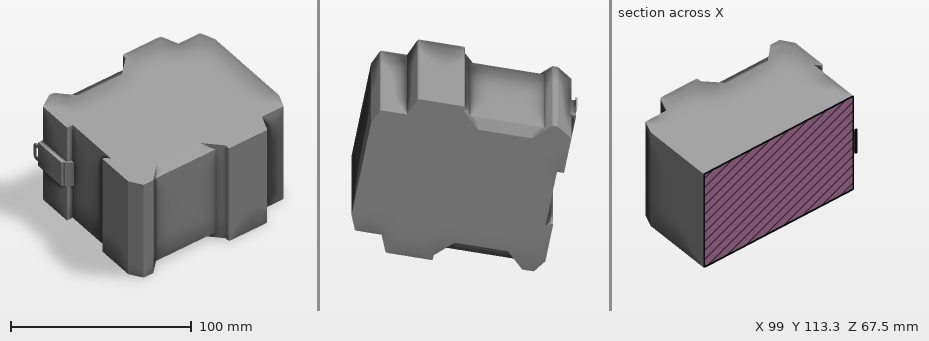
import cadquery as cq


height = 67.5
depth = 113.3
half_width = 49.5
foot_y = 2.6

crown_half_width = 29.8
step_half_width = 38.7
crown_shoulder_y = 109.7
step_y = 94.7
wide_shoulder_y = 90.5
crown_corner_radius = 1.0
wide_corner_radius = 1.6
lower_corner_radius = 0.9

flank_half_width = 46.3
waist_half_width = 36.4
flank_rise = flank_half_width - waist_half_width
wide_bottom_y = 64.0
waist_top_y = wide_bottom_y - flank_rise
foot_top_y = 14.3
waist_bottom_y = foot_top_y + flank_rise

left_foot_y = 11.3
left_foot_x = -40.3
right_foot_y = 7.7
right_foot_x = 38.9
recess_left_x = -18.0
recess_right_x = 17.3
recess_y = 6.6
hook_tip_x = 15.0
hook_root_y = 5.9
hook_tip_y = 4.0

block_half_width = 42.4
block_bevel_height = 3.6

latch_height = 17.1
latch_left_x = -41.1
latch_step_x = -19.6
latch_nose_x = -18.4
latch_tip_x = -15.5
latch_step_y = 1.5
latch_nose_y = 2.0
latch_tip_y = 5.5
latch_inset = 1.1

loop_left_x = -45.5
loop_height = 11.3
loop_front_y = 0.1
loop_thickness = 0.8
loop_corner_radius = 2.0
loop_hole_left_x = -44.0
loop_hole_height = 7.0

pick_reach = 0.1


def prism(points, prism_height):
    """Extrude an XY outline symmetrically about Z = 0."""
    return cq.Workplane("XY").polyline(points).close().extrude(prism_height / 2, both=True)


def round_corner(body, x, y, radius):
    """Round the upright edges at (x, y) and at its mirror image (-x, y)."""
    for side in (-1, 1):
        corner = cq.selectors.BoxSelector(
            (side * x - pick_reach, y - pick_reach, -height), (side * x + pick_reach, y + pick_reach, height)
        )
        body = body.edges("|Z").edges(corner).fillet(radius)
    return body


def make_housing():
    """Full-height block with a stepped top, a waist and two feet around the rail recess."""
    right_side = [
        (crown_half_width, depth),
        (step_half_width, crown_shoulder_y),
        (step_half_width, step_y),
        (half_width, wide_shoulder_y),
        (half_width, wide_bottom_y),
        (flank_half_width, wide_bottom_y),
        (waist_half_width, waist_top_y),
        (waist_half_width, waist_bottom_y),
        (flank_half_width, foot_top_y),
    ]
    left_side = [(-x, y) for x, y in reversed(right_side)]
    underside = [
        (flank_half_width, right_foot_y),
        (right_foot_x, foot_y),
        (hook_tip_x, foot_y),
        (hook_tip_x, hook_tip_y),
        (hook_tip_x + hook_root_y - hook_tip_y, hook_root_y),
        (recess_right_x, hook_root_y),
        (recess_right_x, recess_y),
        (recess_left_x, recess_y),
        (recess_left_x, foot_y),
        (left_foot_x, foot_y),
        (-flank_half_width, left_foot_y),
    ]
    body = prism(right_side + underside + left_side, height)
    body = round_corner(body, step_half_width, crown_shoulder_y, crown_corner_radius)
    body = round_corner(body, half_width, wide_shoulder_y, wide_corner_radius)
    return round_corner(body, half_width, wide_bottom_y, lower_corner_radius)


def make_waist_slab():
    """One slab through the waist whose XZ section is bevelled down to the waist at both ends."""
    half_height = height / 2
    straight = half_height - block_bevel_height
    section = [
        (waist_half_width, half_height),
        (block_half_width, straight),
        (block_half_width, -straight),
        (waist_half_width, -half_height),
    ]
    section += [(-x, z) for x, z in reversed(section)]
    slab_sketch = cq.Workplane("XZ", origin=(0, wide_bottom_y, 0)).polyline(section).close()
    return slab_sketch.extrude(wide_bottom_y - foot_top_y)


def make_latch():
    """Sliding latch under the left foot, with a sloped tip that reaches into the recess."""
    outline = [
        (latch_left_x, 0),
        (latch_step_x, 0),
        (latch_step_x, latch_step_y),
        (latch_nose_x, latch_step_y),
        (latch_nose_x, latch_nose_y),
        (latch_tip_x, latch_tip_y),
        (recess_left_x, latch_tip_y),
        (recess_left_x, foot_y + latch_inset),
        (latch_left_x, foot_y + latch_inset),
    ]
    return prism(outline, latch_height)


def make_loop():
    """Flat rounded strap with a rectangular opening next to the latch."""
    loop_length = latch_left_x - loop_left_x
    hole_length = latch_left_x - loop_hole_left_x
    strap = (
        cq.Workplane("XY")
        .box(loop_length, loop_thickness, loop_height, centered=(False, False, True))
        .translate((loop_left_x, loop_front_y, 0))
        .edges("|Y and <X")
        .fillet(loop_corner_radius)
    )
    opening = (
        cq.Workplane("XY")
        .box(hole_length, loop_thickness, loop_hole_height, centered=(False, False, True))
        .translate((loop_hole_left_x, loop_front_y, 0))
    )
    return strap.cut(opening)


result = make_housing().union(make_waist_slab()).union(make_latch()).union(make_loop())